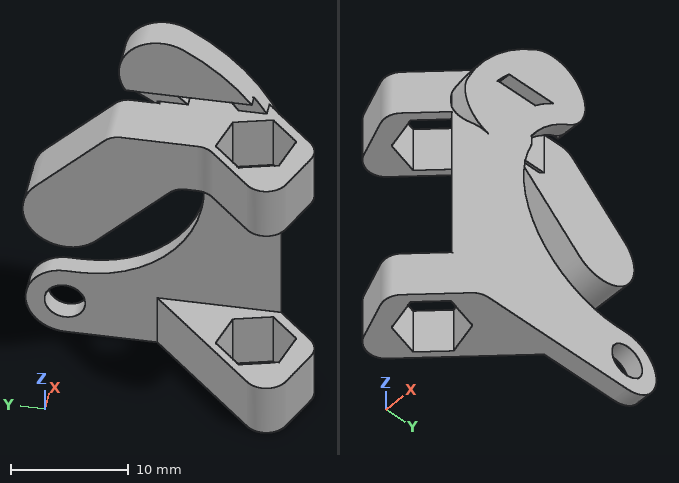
import cadquery as cq
import math

WIDTH = 11.83
LENGTH = 25.7
HEIGHT = 34.38
PLATE_THICKNESS = 1.8
PLATE_FRONT = WIDTH - PLATE_THICKNESS
BEND_RADIUS = 2.0

BLOCK_HEIGHT = 5.0
BLOCK_TOP = 27.0
BLOCK_BOTTOM = BLOCK_TOP - BLOCK_HEIGHT
LEFT_CORNER = (BEND_RADIUS, 3.47)
RIGHT_CORNER = (5.6, BEND_RADIUS)
HEX_CENTER = (6.0, 5.1)
HEX_DIAMETER = 6.88
HEX_ANGLE = -15

ARM_LEFT = 4.8
ARM_WIDTH = 5.0
ARM_START = 6.88
FINGER_CENTER = (21.28, 17.77)
FINGER_RADIUS = 3.75

LUG_RADIUS = 3.4
LUG_HOLE_DIAMETER = 3.5
LUG_CENTER = (LENGTH - LUG_RADIUS, LUG_RADIUS)
BOW_RADIUS = 10.75
BOW_CENTER = (21.07, 2 * LUG_RADIUS + BOW_RADIUS)

HOOK_RADIUS = 15.0
HOOK_HALF_WIDTH = 3.75
SLOT_HALF_WIDTH = 1.7
HOOK_LOW_ANGLE = 157
HOOK_HIGH_ANGLE = math.degrees(
    math.pi - math.asin((HEIGHT - HOOK_HALF_WIDTH - BOW_CENTER[1]) / HOOK_RADIUS)
)
CAP_BOTTOM = 28.67
CAP_THICKNESS = 2.82

DIAGONAL = math.sqrt(0.5)
BEND_SETBACK = BEND_RADIUS * DIAGONAL


def polar(center, radius, angle):
    """Point at an angle in degrees around a centre."""
    turn = math.radians(angle)
    return (center[0] + radius * math.cos(turn), center[1] + radius * math.sin(turn))


def extrude_x(profile, start, depth):
    """Extrude a closed YZ profile along +X from the given X."""
    return profile.extrude(depth).translate((start, 0, 0))


def box(x0, x1, y0, y1, z0, z1):
    """Axis-aligned box between two corners."""
    return cq.Workplane("XY").box(x1 - x0, y1 - y0, z1 - z0, centered=False).translate((x0, y0, z0))


nose_angle = math.degrees(
    math.atan2(RIGHT_CORNER[1] - LEFT_CORNER[1], RIGHT_CORNER[0] - LEFT_CORNER[0])
) - 90
left_start = polar(LEFT_CORNER, BEND_RADIUS, 135)
right_end = polar(RIGHT_CORNER, BEND_RADIUS, -45)
LEFT_SLOPE_OFFSET = left_start[1] - left_start[0]
RIGHT_SLOPE_OFFSET = right_end[1] - right_end[0]


def make_block(bottom):
    """Block with 45 degree sides, a rounded nose and a flat against the plate."""
    return (
        cq.Workplane("XY", origin=(0, 0, bottom))
        .moveTo(PLATE_FRONT, PLATE_FRONT + LEFT_SLOPE_OFFSET)
        .lineTo(*left_start)
        .threePointArc(
            polar(LEFT_CORNER, BEND_RADIUS, 180),
            polar(LEFT_CORNER, BEND_RADIUS, nose_angle),
        )
        .lineTo(*polar(RIGHT_CORNER, BEND_RADIUS, nose_angle))
        .threePointArc(polar(RIGHT_CORNER, BEND_RADIUS, -90), right_end)
        .lineTo(PLATE_FRONT, PLATE_FRONT + RIGHT_SLOPE_OFFSET)
        .close()
        .extrude(BLOCK_HEIGHT)
    )


def make_plate():
    """Plate with a lug, a concave edge and a rounded 45 degree front edge."""
    bow_end_y = BOW_CENTER[0] - math.sqrt(BOW_RADIUS**2 - (BLOCK_BOTTOM - BOW_CENTER[1]) ** 2)
    profile = (
        cq.Workplane("YZ")
        .lineTo(LUG_CENTER[0], 0)
        .threePointArc((LENGTH, LUG_RADIUS), (LUG_CENTER[0], 2 * LUG_RADIUS))
        .lineTo(BOW_CENTER[0], 2 * LUG_RADIUS)
        .threePointArc(polar(BOW_CENTER, BOW_RADIUS, 215), (bow_end_y, BLOCK_BOTTOM))
        .lineTo(bow_end_y, BLOCK_TOP)
        .lineTo(0, BLOCK_TOP)
        .close()
    )
    plate = extrude_x(profile, PLATE_FRONT, PLATE_THICKNESS)

    edge_center_x = WIDTH - BEND_RADIUS
    edge_start_x = edge_center_x + BEND_SETBACK
    edge_start_y = edge_start_x + RIGHT_SLOPE_OFFSET
    edge_center = (edge_center_x, edge_start_y + BEND_SETBACK)
    footprint = (
        cq.Workplane("XY")
        .moveTo(PLATE_FRONT, PLATE_FRONT + RIGHT_SLOPE_OFFSET)
        .lineTo(edge_start_x, edge_start_y)
        .threePointArc(polar(edge_center, BEND_RADIUS, -22.5), (WIDTH, edge_center[1]))
        .lineTo(WIDTH, LENGTH)
        .lineTo(PLATE_FRONT, LENGTH)
        .close()
        .extrude(BLOCK_TOP)
    )
    hole = extrude_x(
        cq.Workplane("YZ").center(*LUG_CENTER).circle(LUG_HOLE_DIAMETER / 2),
        PLATE_FRONT,
        PLATE_THICKNESS,
    )
    return plate.intersect(footprint).cut(hole)


def make_arm():
    """Level arm that bends into a round-ended finger sloping down at 45 degrees."""
    bend_reach = BEND_RADIUS * math.tan(math.radians(22.5))
    upper_tangent = polar(FINGER_CENTER, FINGER_RADIUS, 45)
    lower_tangent = polar(FINGER_CENTER, FINGER_RADIUS, 225)
    upper_bend_y = sum(upper_tangent) - BLOCK_TOP
    lower_bend_y = sum(lower_tangent) - BLOCK_BOTTOM
    upper_bend_center = (upper_bend_y - bend_reach, BLOCK_TOP - BEND_RADIUS)
    lower_bend_center = (lower_bend_y - bend_reach, BLOCK_BOTTOM - BEND_RADIUS)
    profile = (
        cq.Workplane("YZ")
        .moveTo(ARM_START, BLOCK_TOP)
        .lineTo(upper_bend_center[0], BLOCK_TOP)
        .threePointArc(
            polar(upper_bend_center, BEND_RADIUS, 67.5),
            polar(upper_bend_center, BEND_RADIUS, 45),
        )
        .lineTo(*upper_tangent)
        .threePointArc(polar(FINGER_CENTER, FINGER_RADIUS, -45), lower_tangent)
        .lineTo(*polar(lower_bend_center, BEND_RADIUS, 45))
        .threePointArc(
            polar(lower_bend_center, BEND_RADIUS, 67.5),
            (lower_bend_center[0], BLOCK_BOTTOM),
        )
        .lineTo(ARM_START, BLOCK_BOTTOM)
        .close()
    )
    return extrude_x(profile, ARM_LEFT, ARM_WIDTH)


def make_side_bend():
    """Concave fillet between the block's left slope and the arm's left face."""
    corner_y = ARM_LEFT + LEFT_SLOPE_OFFSET
    reach = BEND_RADIUS * math.tan(math.radians(22.5))
    center = (ARM_LEFT - BEND_RADIUS, corner_y + reach)
    return (
        cq.Workplane("XY", origin=(0, 0, BLOCK_BOTTOM))
        .moveTo(ARM_LEFT, center[1])
        .threePointArc(polar(center, BEND_RADIUS, -22.5), polar(center, BEND_RADIUS, -45))
        .lineTo(ARM_LEFT, corner_y)
        .close()
        .extrude(BLOCK_HEIGHT)
    )


def curved_slot(half_width, thickness):
    """Round-ended band along the hook's centreline, flush with the plate's back."""
    inner = HOOK_RADIUS - half_width
    outer = HOOK_RADIUS + half_width
    middle_angle = (HOOK_LOW_ANGLE + HOOK_HIGH_ANGLE) / 2
    low_end = polar(BOW_CENTER, HOOK_RADIUS, HOOK_LOW_ANGLE)
    high_end = polar(BOW_CENTER, HOOK_RADIUS, HOOK_HIGH_ANGLE)
    profile = (
        cq.Workplane("YZ")
        .moveTo(*polar(BOW_CENTER, outer, HOOK_LOW_ANGLE))
        .threePointArc(
            polar(BOW_CENTER, outer, middle_angle),
            polar(BOW_CENTER, outer, HOOK_HIGH_ANGLE),
        )
        .threePointArc(
            polar(high_end, half_width, HOOK_HIGH_ANGLE - 90),
            polar(BOW_CENTER, inner, HOOK_HIGH_ANGLE),
        )
        .threePointArc(
            polar(BOW_CENTER, inner, middle_angle),
            polar(BOW_CENTER, inner, HOOK_LOW_ANGLE),
        )
        .threePointArc(
            polar(low_end, half_width, HOOK_LOW_ANGLE + 90),
            polar(BOW_CENTER, outer, HOOK_LOW_ANGLE),
        )
        .close()
    )
    return extrude_x(profile, WIDTH - thickness, thickness)


def make_hook():
    """Slotted curved hook with a thicker solid cap at its upper end."""
    cap_zone = box(0, WIDTH, 0, LENGTH, CAP_BOTTOM, HEIGHT)
    window_zone = box(0, WIDTH, 0, LENGTH, BLOCK_TOP, CAP_BOTTOM)
    cap = curved_slot(HOOK_HALF_WIDTH, CAP_THICKNESS).intersect(cap_zone)
    window = curved_slot(SLOT_HALF_WIDTH, PLATE_THICKNESS).intersect(window_zone)
    return curved_slot(HOOK_HALF_WIDTH, PLATE_THICKNESS).cut(window).union(cap)


hex_sockets = (
    cq.Workplane("XY")
    .polygon(6, HEX_DIAMETER)
    .extrude(BLOCK_TOP)
    .rotate((0, 0, 0), (0, 0, 1), HEX_ANGLE)
    .translate((*HEX_CENTER, 0))
)

blocks_and_arm = make_block(0).union(make_block(BLOCK_BOTTOM)).union(make_arm()).union(make_side_bend())
result = blocks_and_arm.cut(hex_sockets).union(make_plate()).union(make_hook())